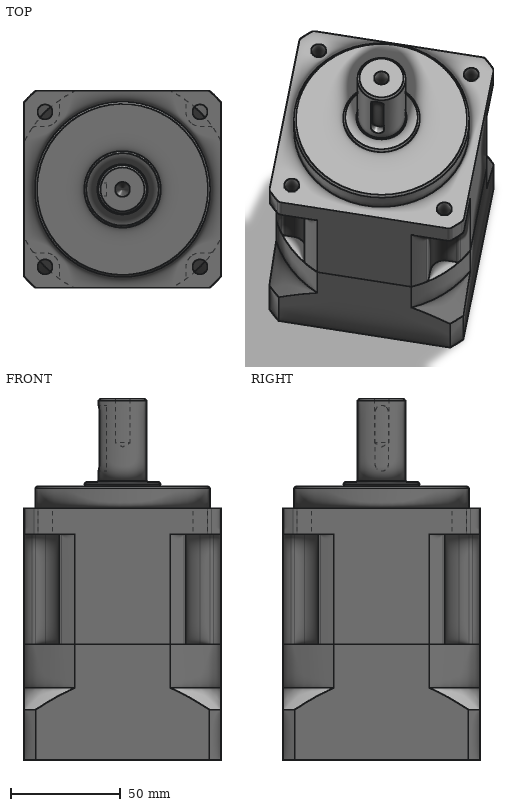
import cadquery as cq
import math

SIDE = 90.0
CORNER_RADIUS = 60.0
WAIST_RADIUS = 50.0

CONE_START_Z = 23.0
CONE_END_Z = 33.0
SPLIT_Z = 53.0
FLANGE_BOTTOM_Z = 103.0
FLANGE_TOP_Z = 115.0
PILOT_TOP_Z = 125.0
COLLAR_TOP_Z = 127.0
SHAFT_TOP_Z = 165.0

FLANGE_EDGE_FILLET = 2.5
BOLT_CIRCLE_DIAMETER = 100.0
BOLT_HOLE_DIAMETER = 6.8
BOLT_OFFSET = BOLT_CIRCLE_DIAMETER / 2 / math.sqrt(2)
BOLT_CENTRES = [(sx * BOLT_OFFSET, sy * BOLT_OFFSET) for sx in (-1, 1) for sy in (-1, 1)]

GROOVE_RADIUS = 6.5
GROOVE_LIP_FILLET = 2.0
LIP_SEARCH_MARGIN = 0.1

PILOT_DIAMETER = 80.0
COLLAR_DIAMETER = 35.0
SHAFT_DIAMETER = 22.0
SHAFT_ROOT_FLARE = 0.5
EDGE_CHAMFER = 1.0
COLLAR_UNDERCUT = 0.5

KEY_WIDTH = 6.0
KEY_LENGTH = 30.0
KEY_DEPTH = 3.5
KEY_TO_SHAFT_TOP = 3.0

CENTRE_HOLE_DIAMETER = 6.8
CENTRE_HOLE_DEPTH = 20.0
DRILL_POINT_ANGLE = 118.0


def cylinder(radius, bottom_z, top_z):
    return cq.Workplane("XY").workplane(offset=bottom_z).circle(radius).extrude(top_z - bottom_z)


def rounded_square(corner_radius, bottom_z, top_z):
    """Square block whose corners are cut back to a cylinder about the Z axis."""
    block = cq.Workplane("XY").workplane(offset=bottom_z).rect(SIDE, SIDE).extrude(top_z - bottom_z)
    return block.intersect(cylinder(corner_radius, bottom_z, top_z))


def make_adapter():
    """Square base that tapers at the corners to the waist radius."""
    square = cq.Workplane("XY").rect(SIDE, SIDE).extrude(SPLIT_Z)
    envelope = (
        cq.Workplane("XZ")
        .moveTo(0, 0)
        .lineTo(CORNER_RADIUS, 0)
        .lineTo(CORNER_RADIUS, CONE_START_Z)
        .lineTo(WAIST_RADIUS, CONE_END_Z)
        .lineTo(WAIST_RADIUS, SPLIT_Z)
        .lineTo(0, SPLIT_Z)
        .close()
        .revolve(360, (0, 0, 0), (0, 1, 0))
    )
    return square.intersect(envelope)


def make_waist():
    """Gearbox body with a bolt-head groove down each corner."""
    height = FLANGE_BOTTOM_Z - SPLIT_Z
    groove_wall = BOLT_OFFSET - GROOVE_RADIUS
    groove_size = SIDE / 2
    waist = rounded_square(WAIST_RADIUS, SPLIT_Z, FLANGE_BOTTOM_Z)
    groove = (
        cq.Workplane("XY")
        .workplane(offset=SPLIT_Z)
        .moveTo(groove_wall, groove_wall)
        .rect(groove_size, groove_size, centered=False)
        .extrude(height)
    )
    groove = groove.edges("|Z and <X and <Y").fillet(GROOVE_RADIUS)
    for quarter in range(4):
        waist = waist.cut(groove.rotate((0, 0, 0), (0, 0, 1), 90 * quarter))

    lip_along = math.sqrt(WAIST_RADIUS**2 - groove_wall**2)
    for sx in (-1, 1):
        for sy in (-1, 1):
            for x, y in ((lip_along, groove_wall), (groove_wall, lip_along)):
                lip = cq.selectors.BoxSelector(
                    (sx * x - LIP_SEARCH_MARGIN, sy * y - LIP_SEARCH_MARGIN, SPLIT_Z),
                    (sx * x + LIP_SEARCH_MARGIN, sy * y + LIP_SEARCH_MARGIN, FLANGE_BOTTOM_Z),
                )
                waist = waist.edges(lip).fillet(GROOVE_LIP_FILLET)
    return waist


def make_flange():
    flange = rounded_square(CORNER_RADIUS, FLANGE_BOTTOM_Z, FLANGE_TOP_Z)
    flange = flange.edges("|Z").fillet(FLANGE_EDGE_FILLET)
    holes = (
        cq.Workplane("XY")
        .workplane(offset=FLANGE_BOTTOM_Z)
        .pushPoints(BOLT_CENTRES)
        .circle(BOLT_HOLE_DIAMETER / 2)
        .extrude(FLANGE_TOP_Z - FLANGE_BOTTOM_Z)
    )
    return flange.cut(holes)


def make_collar():
    """Seal collar, bevelled above and tapering in below its rim."""
    rim = COLLAR_DIAMETER / 2
    rim_z = COLLAR_TOP_Z - EDGE_CHAMFER
    return (
        cq.Workplane("XZ")
        .moveTo(0, PILOT_TOP_Z)
        .lineTo(rim - COLLAR_UNDERCUT, PILOT_TOP_Z)
        .lineTo(rim, rim_z)
        .lineTo(rim - EDGE_CHAMFER, COLLAR_TOP_Z)
        .lineTo(0, COLLAR_TOP_Z)
        .close()
        .revolve(360, (0, 0, 0), (0, 1, 0))
    )


def make_shaft():
    radius = SHAFT_DIAMETER / 2
    shaft = cylinder(radius, COLLAR_TOP_Z, SHAFT_TOP_Z).faces(">Z").chamfer(EDGE_CHAMFER)
    flare = cq.Solid.makeCone(
        radius + SHAFT_ROOT_FLARE, radius, SHAFT_ROOT_FLARE, pnt=cq.Vector(0, 0, COLLAR_TOP_Z)
    )
    shaft = shaft.union(cq.Workplane(flare))

    key_middle_z = SHAFT_TOP_Z - KEY_TO_SHAFT_TOP - KEY_LENGTH / 2
    keyway = (
        cq.Workplane("YZ", origin=(-radius, 0, key_middle_z))
        .slot2D(KEY_LENGTH, KEY_WIDTH, 90)
        .extrude(KEY_DEPTH)
    )

    hole_radius = CENTRE_HOLE_DIAMETER / 2
    hole_bottom_z = SHAFT_TOP_Z - CENTRE_HOLE_DEPTH
    point_depth = hole_radius / math.tan(math.radians(DRILL_POINT_ANGLE / 2))
    centre_hole = (
        cq.Workplane("XZ")
        .moveTo(0, SHAFT_TOP_Z)
        .lineTo(hole_radius, SHAFT_TOP_Z)
        .lineTo(hole_radius, hole_bottom_z)
        .lineTo(0, hole_bottom_z - point_depth)
        .close()
        .revolve(360, (0, 0, 0), (0, 1, 0))
    )
    return shaft.cut(keyway).cut(centre_hole)


def make_gearbox():
    """Waist, flange, pilot, collar and output shaft as one solid."""
    pilot = cylinder(PILOT_DIAMETER / 2, FLANGE_TOP_Z, PILOT_TOP_Z).faces(">Z").chamfer(EDGE_CHAMFER)
    gearbox = make_waist()
    for section in (make_flange(), pilot, make_collar(), make_shaft()):
        gearbox = gearbox.union(section)
    return gearbox


adapter = make_adapter()
gearbox = make_gearbox()
result = cq.Compound.makeCompound([adapter.val(), gearbox.val()])